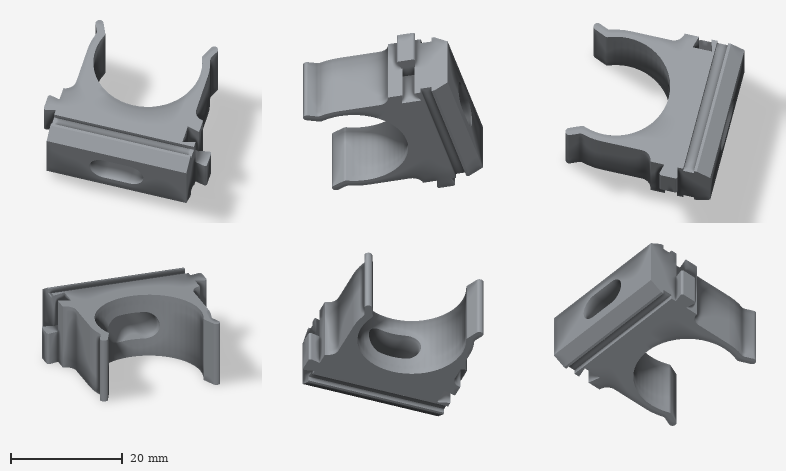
import cadquery as cq
import math


overall_width = 30.4
overall_depth = 27.25
height = 12.0
half_height = height / 2

body_half_width = 13.0
shoulder_y = 11.05
shoulder_radius = 2.0
foot_chamfer_y = 2.5
foot_chamfer_z = 1.4
groove_near_y = 3.0
groove_width = 1.98
groove_depth = 0.88

bore_radius = 9.75
bore_y = 20.58
wall = 1.43
outer_radius = bore_radius + wall
mid_radius = bore_radius + wall / 2
neck_angle = 21.5
tip_x = 10.67
tip_y = overall_depth - wall / 2
neck_fillet = 0.97

screw_slot_length = 10.0
screw_slot_width = 5.23

dovetail_y = 7.25
tab_length = overall_width / 2 - body_half_width
tab_neck_width = 2.5
tab_end_width = 3.53
tab_corner_radius = 0.4
socket_depth = 2.28
socket_mouth_width = 2.28
socket_end_width = 3.6


def make_base():
    """Body below the bore centre, with rounded shoulders below the arms."""
    shoulder_top_y = shoulder_y + shoulder_radius
    return (
        cq.Workplane("XY")
        .moveTo(-body_half_width, 0)
        .lineTo(body_half_width, 0)
        .lineTo(body_half_width, shoulder_y)
        .radiusArc((outer_radius, shoulder_top_y), shoulder_radius)
        .lineTo(outer_radius, bore_y)
        .lineTo(-outer_radius, bore_y)
        .lineTo(-outer_radius, shoulder_top_y)
        .radiusArc((-body_half_width, shoulder_y), shoulder_radius)
        .close()
        .extrude(height)
    )


def point_on_circle(radius, angle):
    """Point at an angle in degrees on a circle around the bore centre."""
    turn = math.radians(angle)
    return radius * math.cos(turn), bore_y + radius * math.sin(turn)


def make_arm():
    """Upper part of the +X arm: a curved wall, then a lead-in flared outward."""
    curved_wall = (
        cq.Workplane("XY")
        .moveTo(bore_radius, bore_y)
        .lineTo(outer_radius, bore_y)
        .threePointArc(
            point_on_circle(outer_radius, neck_angle / 2),
            point_on_circle(outer_radius, neck_angle),
        )
        .lineTo(*point_on_circle(bore_radius, neck_angle))
        .threePointArc(point_on_circle(bore_radius, neck_angle / 2), (bore_radius, bore_y))
        .close()
        .extrude(height)
    )

    neck_x, neck_y = point_on_circle(mid_radius, neck_angle)
    run_x = tip_x - neck_x
    run_y = tip_y - neck_y
    lead_in = (
        cq.Workplane("XY")
        .center((neck_x + tip_x) / 2, (neck_y + tip_y) / 2)
        .slot2D(math.hypot(run_x, run_y) + wall, wall, math.degrees(math.atan2(run_y, run_x)))
        .extrude(height)
    )

    outer_neck_x, outer_neck_y = point_on_circle(outer_radius, neck_angle)
    neck_edge = cq.selectors.NearestToPointSelector((outer_neck_x, outer_neck_y, half_height))
    return curved_wall.union(lead_in).edges("|Z").edges(neck_edge).fillet(neck_fillet)


def cut_foot(body):
    """Chamfer the foot and groove its two Z faces."""
    width = 2 * body_half_width
    groove_y = groove_near_y + groove_width / 2
    groove = cq.Workplane("XY").box(width, groove_width, 2 * groove_depth)
    chamfer = (
        cq.Workplane("YZ")
        .polyline([(0, 0), (foot_chamfer_y, 0), (0, foot_chamfer_z)])
        .close()
        .extrude(body_half_width, both=True)
    )
    lower_cuts = groove.translate((0, groove_y, 0)).union(chamfer)
    upper_cuts = lower_cuts.mirror("XY", (0, 0, half_height))
    return body.cut(lower_cuts).cut(upper_cuts)


def make_dovetail(narrow_width, wide_width, length):
    """Half-height dovetail widening along +X from its narrow end at X = 0."""
    return (
        cq.Workplane("XY")
        .polyline([
            (0, -narrow_width / 2),
            (length, -wide_width / 2),
            (length, wide_width / 2),
            (0, narrow_width / 2),
        ])
        .close()
        .extrude(half_height)
    )


def add_dovetails(body):
    """Tab on each side with a socket in the other half of the height."""
    tab = make_dovetail(tab_neck_width, tab_end_width, tab_length)
    tab = tab.edges("|Z and >X").fillet(tab_corner_radius)
    tab = tab.translate((body_half_width, dovetail_y, 0))

    socket = make_dovetail(socket_mouth_width, socket_end_width, socket_depth).mirror("YZ")
    socket = socket.translate((body_half_width, dovetail_y, half_height))

    axis_start = (0, 0, half_height)
    axis_end = (0, 1, half_height)
    for turn in (0, 180):
        body = body.union(tab.rotate(axis_start, axis_end, turn))
        body = body.cut(socket.rotate(axis_start, axis_end, turn))
    return body


bore = cq.Workplane("XY").center(0, bore_y).circle(bore_radius).extrude(height)
arm = make_arm()
screw_slot = (
    cq.Workplane("XZ")
    .center(0, half_height)
    .slot2D(screw_slot_length, screw_slot_width)
    .extrude(-bore_y)
)

clip = make_base().cut(bore).union(arm).union(arm.mirror("YZ"))
clip = cut_foot(clip).cut(screw_slot)
result = add_dovetails(clip)